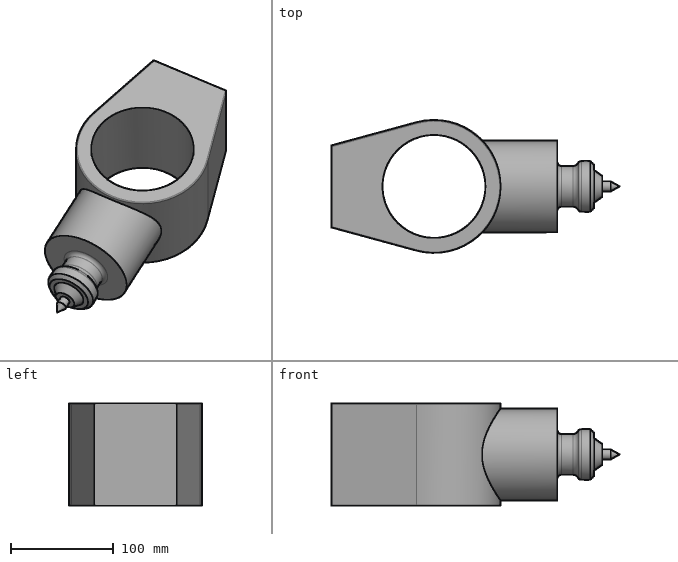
import cadquery as cq
import math

total_length = 280.8
body_height = 100.0
ring_radius = 65.0
bore_diameter = 100.0
flat_end_width = 80.0
flat_end_x = -bore_diameter
rim_fillet = 1.0

arm_diameter = 90.0
arm_end_x = 120.2

neck_radius = 20.0
neck_root_fillet = 4.0
neck_end_x = 135.0
collar_radius = 24.7
collar_crown = 0.42
collar_hollow_radius = 6.2
collar_shoulder_radius = 3.0
collar_chamfer_start_x = 152.2
collar_front_chamfer = 3.7
nose_base_radius = 16.0
nose_end_radius = 10.0
nose_end_x = 164.0
pin_radius = 5.0
pin_end_x = 172.0
tip_x = flat_end_x + total_length


def make_body():
    """Ring and tapered block with rounded upper and lower rims."""
    half_flat = flat_end_width / 2
    corner_distance = math.hypot(flat_end_x, half_flat)
    corner_angle = math.atan2(half_flat, flat_end_x)
    tangent_angle = corner_angle - math.acos(ring_radius / corner_distance)
    tangent_x = ring_radius * math.cos(tangent_angle)
    tangent_y = ring_radius * math.sin(tangent_angle)
    body = (
        cq.Workplane("XY")
        .moveTo(flat_end_x, -half_flat)
        .lineTo(tangent_x, -tangent_y)
        .threePointArc((ring_radius, 0), (tangent_x, tangent_y))
        .lineTo(flat_end_x, half_flat)
        .close()
        .extrude(body_height / 2, both=True)
    )
    return body.faces("|Z").edges("not |Y").fillet(rim_fillet)


def make_arm():
    return cq.Workplane("YZ").circle(arm_diameter / 2).extrude(arm_end_x)


def make_stud():
    """Half profile, X along the axis and Y as radius, revolved about X."""
    arc_radii = collar_hollow_radius + collar_shoulder_radius
    sweep = math.acos(1 - (collar_radius - neck_radius) / arc_radii)
    collar_start_x = neck_end_x + arc_radii * math.sin(sweep)
    blend_x = neck_end_x + collar_hollow_radius * math.sin(sweep)
    blend_radius = neck_radius + collar_hollow_radius * (1 - math.cos(sweep))
    collar_end_x = collar_chamfer_start_x + collar_front_chamfer
    profile = (
        cq.Workplane("XY")
        .moveTo(arm_end_x, 0)
        .lineTo(arm_end_x, neck_radius + neck_root_fillet)
        .radiusArc((arm_end_x + neck_root_fillet, neck_radius), -neck_root_fillet)
        .lineTo(neck_end_x, neck_radius)
        .radiusArc((blend_x, blend_radius), -collar_hollow_radius)
        .radiusArc((collar_start_x, collar_radius), collar_shoulder_radius)
        .sagittaArc((collar_chamfer_start_x, collar_radius), collar_crown)
        .lineTo(collar_end_x, collar_radius - collar_front_chamfer)
        .lineTo(collar_end_x, nose_base_radius)
        .lineTo(nose_end_x, nose_end_radius)
        .lineTo(nose_end_x, pin_radius)
        .lineTo(pin_end_x, pin_radius)
        .lineTo(tip_x, 0)
        .close()
    )
    return profile.revolve(360, (0, 0, 0), (1, 0, 0))


bore = cq.Workplane("XY").circle(bore_diameter / 2).extrude(body_height / 2, both=True)
result = make_body().union(make_arm()).cut(bore).union(make_stud())